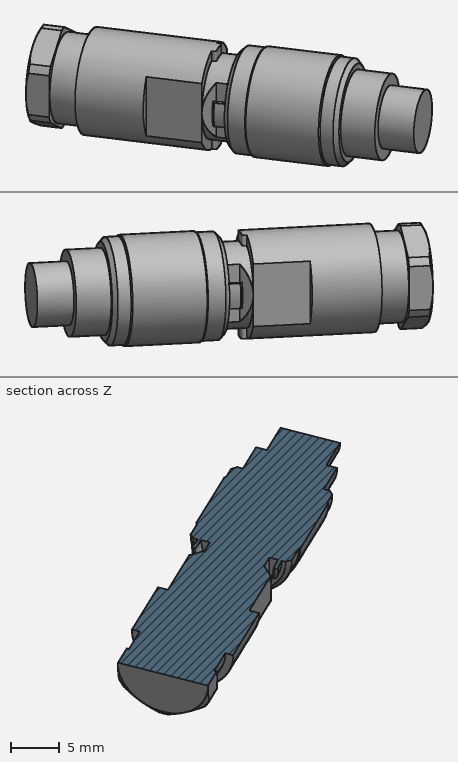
import cadquery as cq
import math


nut_end = 2.5
collar_end = 5.45
wrench_flat_start = 12.8
body_end = 18.75
ring_start = 21.35
band_start = 23.67
band_end = 31.6
ring_end = 33.6
shoulder_end = 37.28
total_length = 41.1

collar_dia = 9.5
body_dia = 11.2
neck_dia = 9.0
ring_dia = 11.2
band_dia = 11.5
shoulder_dia = 9.0
tip_dia = 6.6

nut_across_flats = 10.0
nut_corner_dia = 11.0
nut_chamfer_angle = 30.0

wrench_flat_width = 9.05
neck_flat_width = tip_dia

ring_chamfer = 0.5
band_ramp = 0.145

tab_length = 0.5
tab_width = 2.15
tab_corner_radius = 0.25

finger_start = 19.85
finger_width = 2.65
finger_tip_inner_radius = 4.3
finger_tip_outer_radius = 4.75
finger_root_inner_radius = 4.2
finger_root_outer_radius = 4.65
finger_tip_bevel = 0.25
finger_root = ring_start + ring_chamfer


def revolve_about_x(points):
    """Revolve a closed outline of (x, radius) points around the X axis."""
    return cq.Workplane("XY").polyline(points).close().revolve(360, (0, 0, 0), (1, 0, 0))


def cylinder_x(start, end, diameter):
    return cq.Workplane("YZ", origin=(start, 0, 0)).circle(diameter / 2).extrude(end - start)


def box_x(start, end, width_y, width_z):
    return cq.Workplane("YZ", origin=(start, 0, 0)).rect(width_y, width_z).extrude(end - start)


def hex_nut():
    """Hexagon with flats facing +Y and -Y, rounded at its corners and chamfered at its free end."""
    hexagon = (
        cq.Workplane("YZ")
        .transformed(rotate=(0, 0, 90))
        .polygon(6, nut_across_flats / math.cos(math.radians(30)))
        .extrude(nut_end)
    )
    face_radius = nut_across_flats / 2
    corner_radius = nut_corner_dia / 2
    chamfer_depth = (corner_radius - face_radius) * math.tan(math.radians(nut_chamfer_angle))
    envelope = revolve_about_x([
        (0, 0),
        (0, face_radius),
        (chamfer_depth, corner_radius),
        (nut_end, corner_radius),
        (nut_end, 0),
    ])
    return hexagon.intersect(envelope)


def body():
    """Round body with two wrench flats that run out at the neck end."""
    round_part = cylinder_x(collar_end, wrench_flat_start, body_dia)
    flat_part = cylinder_x(wrench_flat_start, body_end, body_dia).intersect(
        box_x(wrench_flat_start, body_end, wrench_flat_width, body_dia)
    )
    return round_part.union(flat_part)


def locating_tabs():
    """Tabs at +Z and -Z, level with the body surface, with rounded free corners."""
    tab_end = body_end + tab_length
    slab = box_x(body_end, tab_end, tab_width, body_dia).edges(">X and |Z").fillet(tab_corner_radius)
    return slab.intersect(cylinder_x(body_end, tab_end, body_dia))


def neck():
    """Round neck narrowed by two flats, each reached by a 45 degree ramp."""
    neck_half = neck_dia / 2
    flat_half = neck_flat_width / 2
    ramp_end = body_end + neck_half - flat_half
    outline = [
        (body_end, neck_half),
        (ramp_end, flat_half),
        (ring_start, flat_half),
        (ring_start, -flat_half),
        (ramp_end, -flat_half),
        (body_end, -neck_half),
    ]
    slab = cq.Workplane("XY").polyline(outline).close().extrude(neck_half, both=True)
    return slab.intersect(cylinder_x(body_end, ring_start, neck_dia))


def coupling_ring():
    """Chamfered ring with a slightly raised grip band."""
    ring_radius = ring_dia / 2
    band_radius = band_dia / 2
    return revolve_about_x([
        (ring_start, 0),
        (ring_start, ring_radius - ring_chamfer),
        (ring_start + ring_chamfer, ring_radius),
        (band_start, ring_radius),
        (band_start + band_ramp, band_radius),
        (band_end, band_radius),
        (band_end + band_ramp, ring_radius),
        (ring_end - ring_chamfer, ring_radius),
        (ring_end, ring_radius - ring_chamfer),
        (ring_end, 0),
    ])


def latch_fingers():
    """Two curved fingers at +Y and -Y, cut from one tapered sleeve."""
    sleeve = revolve_about_x([
        (finger_start, finger_tip_inner_radius),
        (finger_start, finger_tip_outer_radius - finger_tip_bevel),
        (finger_start + finger_tip_bevel, finger_tip_outer_radius),
        (finger_root, finger_root_outer_radius),
        (finger_root, finger_root_inner_radius),
    ])
    return sleeve.intersect(box_x(finger_start, finger_root, body_dia, finger_width))


collar = cylinder_x(nut_end, collar_end, collar_dia)
shoulder = cylinder_x(ring_end, shoulder_end, shoulder_dia)
tip = cylinder_x(shoulder_end, total_length, tip_dia)

result = hex_nut()
for piece in (
    collar, body(), neck(), locating_tabs(), coupling_ring(), latch_fingers(), shoulder, tip,
):
    result = result.union(piece)

result = result.translate((-total_length / 2, 0, 0))